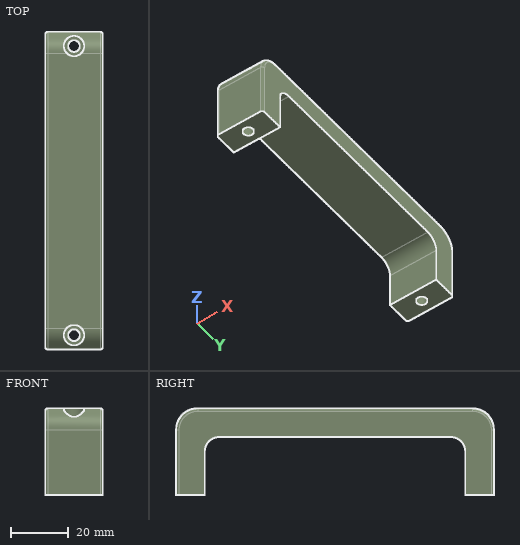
import cadquery as cq

length = 110.0
width = 20.0
height = 30.0

bar_thickness = 10.0
outer_corner_radius = 7.5
inner_corner_radius = 5.0
edge_radius = 1.0

hole_spacing = length - bar_thickness
hole_diameter = 4.0
counterbore_diameter = 7.0
counterbore_depth = 10.0


def rounded_bar():
    """Solid block with rounded ends on top and softened outer edges."""
    block = cq.Workplane("XY").box(width, length, height, centered=(True, True, False))
    block = block.edges("|X and >Z").fillet(outer_corner_radius)
    return block.faces("<X or >X").edges("not <Z").fillet(edge_radius)


def grip_opening():
    """Space between the legs, with rounded upper corners."""
    opening = cq.Workplane("XY").box(
        width,
        length - 2 * bar_thickness,
        height - bar_thickness,
        centered=(True, True, False),
    )
    return opening.edges("|X and >Z").fillet(inner_corner_radius)


def screw_hole(y):
    """Through hole with a counterbore sunk from the top of a leg."""
    hole = cq.Workplane("XY").center(0, y).circle(hole_diameter / 2).extrude(height)
    counterbore = (
        cq.Workplane("XY", origin=(0, y, height - counterbore_depth))
        .circle(counterbore_diameter / 2)
        .extrude(counterbore_depth)
    )
    return hole.union(counterbore)


result = rounded_bar().cut(grip_opening())
for side in (-1, 1):
    result = result.cut(screw_hole(side * hole_spacing / 2))